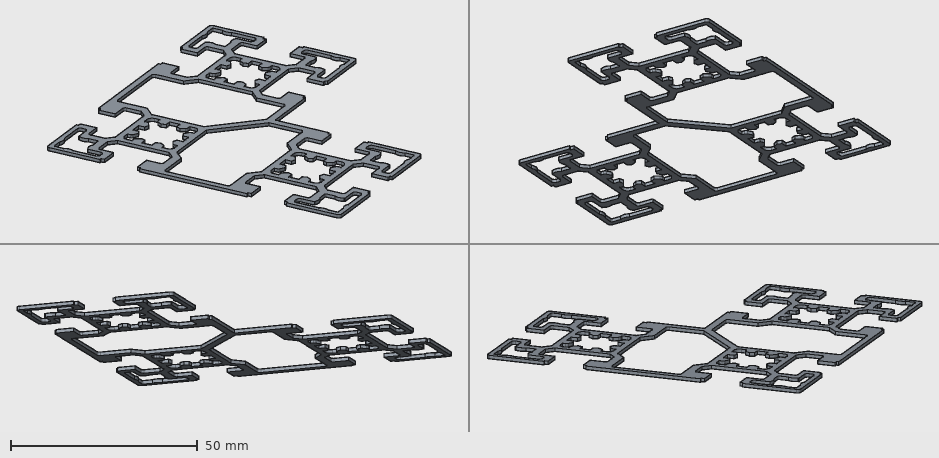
import cadquery as cq
import math

CELL = 45.0
THICKNESS = 1.0
HALF_CELL = CELL / 2
OUTER_CORNER_RADIUS = 0.9

CORE_HALF = 9.55
CORE_WALL = 1.9
CORE_CORNER_RADIUS = 1.5
BORE_HALF = CORE_HALF - CORE_WALL

TOOTH_NEAR = 1.55
TOOTH_TIP = 2.85
TOOTH_FAR = 4.6
TOOTH_SHOULDER = 6.35
TOOTH_SHOULDER_RADIUS = 0.8
SCREW_BORE_RADIUS = 6.0

WEB_OFFSET = 1.65

SLOT_MOUTH_HALF = 5.05
SLOT_HALF = 9.9
LIP_DEPTH = 5.7
LIP_INNER = HALF_CELL - LIP_DEPTH
SLOT_CORNER_RADIUS = 0.7
MOUTH_NOTCH_WIDTH = 1.0
MOUTH_NOTCH_DEPTH = 0.65

HOLLOW_WALL = 1.5
HOLLOW_INNER_WALL = 2.4
HOLLOW_END_WALL = 2.3
HOLLOW_CORNER_RADIUS = 0.2
HOLLOW_END_RADIUS = 0.9
RIDGE_HALF_WIDTH = 1.4
RIDGE_HEIGHT = 0.4

CAVITY_OUTER_WALL = 1.95
CAVITY_INNER_WALL = 2.3
CAVITY_CHAMFER_OFFSET = 1.35
CAVITY_SIDE = 12.5
CAVITY_CORNER_RADIUS = 0.75

CORNER_CELL = (-HALF_CELL, -HALF_CELL)
TOP_CELL = (-HALF_CELL, HALF_CELL)
RIGHT_CELL = (HALF_CELL, -HALF_CELL)

UP, LEFT, DOWN, RIGHT = 0, 90, 180, 270
SLOTS = [
    (CORNER_CELL, (LEFT, DOWN)),
    (TOP_CELL, (UP, LEFT, RIGHT)),
    (RIGHT_CELL, (UP, DOWN, RIGHT)),
]
HOLLOWS = [
    (CORNER_CELL, (180,)),
    (TOP_CELL, (0, 90)),
    (RIGHT_CELL, (0, 270)),
]


def toward(start, end, distance):
    """Point at a distance from start on the line to end."""
    share = distance / math.dist(start, end)
    return tuple(a + (b - a) * share for a, b in zip(start, end))


def rounded_prism(corners):
    """Prism of the slice thickness from (x, y, radius) corners; radius 0 stays sharp."""
    outline = cq.Workplane("XY")
    for i, (x, y, radius) in enumerate(corners):
        corner = (x, y)
        before = corners[i - 1][:2]
        after = corners[(i + 1) % len(corners)][:2]
        cosine = sum((a - c) * (b - c) for a, b, c in zip(before, after, corner))
        cosine /= math.dist(before, corner) * math.dist(after, corner)
        half_angle = math.acos(cosine) / 2
        setback = radius / math.tan(half_angle)
        start = toward(corner, before, setback) if radius else corner
        outline = outline.lineTo(*start) if i else outline.moveTo(*start)
        if radius:
            end = toward(corner, after, setback)
            chord_middle = tuple((a + b) / 2 for a, b in zip(start, end))
            sagitta_gap = radius / math.sin(half_angle) - radius
            middle = toward(corner, chord_middle, sagitta_gap)
            outline = outline.threePointArc(middle, end)
    return outline.close().extrude(THICKNESS)


def turned(shape, angle):
    return shape.rotate((0, 0, 0), (0, 0, 1), angle)


def placed(shape, centre, angle=0):
    return turned(shape, angle).translate((*centre, 0))


def mirrored_corners(corners):
    """Complete a half outline (x > 0) with its mirror image across the Y axis."""
    return corners + [(-x, y, radius) for x, y, radius in reversed(corners)]


def body():
    r = OUTER_CORNER_RADIUS
    return rounded_prism([
        (-CELL, -CELL, r),
        (CELL, -CELL, r),
        (CELL, 0, r),
        (0, 0, 0),
        (0, CELL, r),
        (-CELL, CELL, r),
    ])


def slot():
    """T-slot opening toward +Y."""
    notch_half = SLOT_MOUTH_HALF + MOUTH_NOTCH_WIDTH
    notch_floor = HALF_CELL - MOUTH_NOTCH_DEPTH
    return rounded_prism(mirrored_corners([
        (CORE_HALF - WEB_OFFSET, CORE_HALF, 0),
        (SLOT_HALF, SLOT_HALF + WEB_OFFSET, 0),
        (SLOT_HALF, LIP_INNER, SLOT_CORNER_RADIUS),
        (SLOT_MOUTH_HALF, LIP_INNER, 0),
        (SLOT_MOUTH_HALF, notch_floor, 0),
        (notch_half, notch_floor, 0),
        (notch_half, HALF_CELL, 0),
    ]))


def screw_tooth():
    """Tooth on the +Y wall of the core bore, right of the middle."""
    tip = math.sqrt(SCREW_BORE_RADIUS**2 - TOOTH_TIP**2)
    tooth = rounded_prism([
        (TOOTH_NEAR, 0, 0),
        (TOOTH_TIP, 0, 0),
        (TOOTH_TIP, tip, 0),
        (TOOTH_FAR, TOOTH_SHOULDER, TOOTH_SHOULDER_RADIUS),
        (TOOTH_FAR, CORE_HALF, 0),
        (TOOTH_NEAR, CORE_HALF, 0),
    ])
    screw_bore = cq.Workplane("XY").circle(SCREW_BORE_RADIUS).extrude(THICKNESS)
    return tooth.cut(screw_bore)


def core_bore():
    """Square bore of the core with its eight screw teeth left standing."""
    b = BORE_HALF
    r = CORE_CORNER_RADIUS
    bore = rounded_prism([(-b, -b, r), (b, -b, r), (b, b, r), (-b, b, r)])
    tooth = screw_tooth()
    for angle in (UP, LEFT, DOWN, RIGHT):
        bore = bore.cut(turned(tooth, angle))
        bore = bore.cut(turned(tooth.mirror("YZ"), angle))
    return bore


def hollow():
    """Hollow in the (+X, +Y) corner, with a low ridge on each of its four walls."""
    outer = HALF_CELL - HOLLOW_WALL
    lip = LIP_INNER + HOLLOW_WALL
    inner = SLOT_HALF + HOLLOW_INNER_WALL
    end = SLOT_MOUTH_HALF + HOLLOW_END_WALL
    r = HOLLOW_CORNER_RADIUS
    space = rounded_prism([
        (outer, outer, r),
        (end, outer, HOLLOW_END_RADIUS),
        (end, lip, HOLLOW_END_RADIUS),
        (inner, lip, 0),
        (inner, inner, r),
        (lip, inner, 0),
        (lip, end, HOLLOW_END_RADIUS),
        (outer, end, HOLLOW_END_RADIUS),
    ])
    middle = (inner + outer) / 2
    half_room = (outer - inner) / 2
    ridge = (
        cq.Workplane("XY")
        .moveTo(-RIDGE_HALF_WIDTH, half_room)
        .threePointArc((0, half_room - RIDGE_HEIGHT), (RIDGE_HALF_WIDTH, half_room))
        .close()
        .extrude(THICKNESS)
    )
    for angle in (UP, LEFT, DOWN, RIGHT):
        space = space.cut(placed(ridge, (middle, middle), angle))
    return space


def cavity():
    """Cavity between the corner cell and the top cell."""
    left = -CELL + CAVITY_OUTER_WALL
    right = -CAVITY_INNER_WALL
    centre_x, low_y = CORNER_CELL
    high_y = TOP_CELL[1]
    low_side = low_y + CAVITY_SIDE
    high_side = high_y - CAVITY_SIDE
    side_end = CAVITY_SIDE - CAVITY_CHAMFER_OFFSET
    core_end = CORE_HALF - CAVITY_CHAMFER_OFFSET
    web_end = CORE_HALF - WEB_OFFSET
    r = CAVITY_CORNER_RADIUS
    return rounded_prism([
        (left, low_side, r),
        (centre_x - side_end, low_side, 0),
        (centre_x - core_end, low_y + CORE_HALF, 0),
        (centre_x + web_end, low_y + CORE_HALF, 0),
        (right, right + WEB_OFFSET, 0),
        (right, high_side, r),
        (centre_x + side_end, high_side, 0),
        (centre_x + core_end, high_y - CORE_HALF, 0),
        (centre_x - core_end, high_y - CORE_HALF, 0),
        (centre_x - side_end, high_side, 0),
        (left, high_side, r),
    ])


def mirrored_on_diagonal(shape):
    """Swap X and Y of a flat shape by turning it half around the line y = x."""
    return shape.rotate((0, 0, THICKNESS / 2), (1, 1, THICKNESS / 2), 180)


def profile():
    part = body()
    bore_void = core_bore()
    slot_void = slot()
    for centre, angles in SLOTS:
        part = part.cut(placed(bore_void, centre))
        for angle in angles:
            part = part.cut(placed(slot_void, centre, angle))
    hollow_void = hollow()
    for centre, angles in HOLLOWS:
        for angle in angles:
            part = part.cut(placed(hollow_void, centre, angle))
    cavity_void = cavity()
    part = part.cut(cavity_void)
    return part.cut(mirrored_on_diagonal(cavity_void))


result = profile()